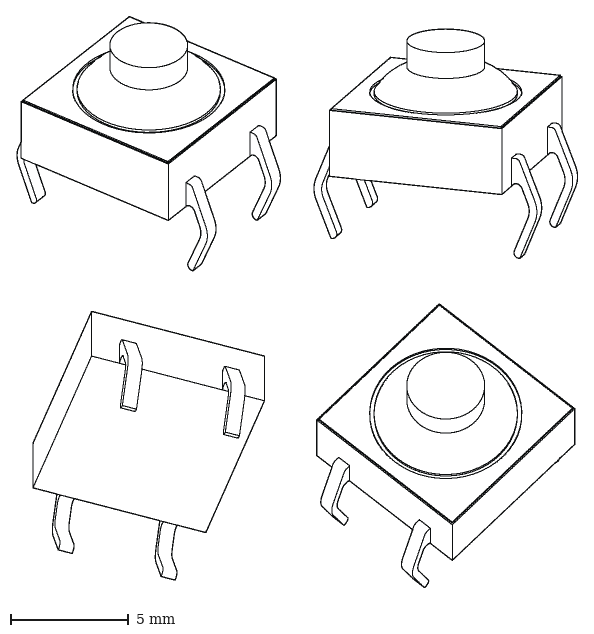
import cadquery as cq
import math

body_side = 7.75
body_height = 2.94

cover_step = 0.06
cover_side = body_side - 2 * cover_step
cover_thickness = 0.07
cover_top = body_height + cover_thickness

groove_diameter = 6.45
groove_depth = 0.1
groove_floor_z = cover_top - groove_depth

button_diameter = 3.31
dome_diameter = 6.08
dome_base_rise = 0.02
dome_base_z = cover_top + dome_base_rise
overall_height = 8.46
pin_tip_z = -3.18
button_top_z = overall_height + pin_tip_z
button_height = 1.15
button_base_z = button_top_z - button_height
dome_mid_radius = 2.37
dome_mid_drop = 0.38

pin_span = 10.02
pin_width = 0.63
pin_pitch = 4.61
pin_thickness = 0.35
pin_angle = math.radians(22)
pin_top_z = 1.25
pin_bend_z = -1.03
pin_bend_outer_radius = 1.25
pin_bend_inner_radius = pin_bend_outer_radius - pin_thickness
pin_shoulder_radius = 0.21
pin_tip_radius = 0.23
hook_top_z = 0.13
hook_radius = 0.25


def make_housing():
    """Build the block and cover with the round recess in which the dome stands."""
    block = cq.Workplane("XY").box(body_side, body_side, body_height, centered=(True, True, False))
    cover = (
        cq.Workplane("XY", origin=(0, 0, body_height))
        .rect(cover_side, cover_side)
        .extrude(cover_thickness)
    )
    recess = (
        cq.Workplane("XY", origin=(0, 0, groove_floor_z))
        .circle(groove_diameter / 2)
        .extrude(groove_depth)
    )
    return block.union(cover).cut(recess)


def make_dome_and_button():
    """Revolve the dome and the button on top of it about the Z axis."""
    return (
        cq.Workplane("XZ")
        .moveTo(0, groove_floor_z)
        .lineTo(dome_diameter / 2, groove_floor_z)
        .lineTo(dome_diameter / 2, dome_base_z)
        .threePointArc(
            (dome_mid_radius, button_base_z - dome_mid_drop),
            (button_diameter / 2, button_base_z),
        )
        .lineTo(button_diameter / 2, button_top_z)
        .lineTo(0, button_top_z)
        .close()
        .revolve(360, (0, 0), (0, 1))
    )


def make_pin():
    """Build one pin on the +X wall, centred on Y = 0."""
    wall_x = body_side / 2
    slope = math.tan(pin_angle)

    bend_x = pin_span / 2 + pin_bend_outer_radius * (1 / math.cos(pin_angle) - 1)
    strip_x = pin_thickness / math.cos(pin_angle)
    inner_bend_x = bend_x - strip_x

    shoulder_x = bend_x - slope * (pin_top_z - pin_bend_z)
    tip_outer_x = bend_x - slope * (pin_bend_z - pin_tip_z)
    tip_inner_x = tip_outer_x - strip_x

    hook_z = hook_top_z - hook_radius
    hook_x = inner_bend_x - slope * (hook_z - pin_bend_z) - hook_radius / math.cos(pin_angle)
    hook_start = (
        hook_x + hook_radius * math.cos(pin_angle),
        hook_z + hook_radius * math.sin(pin_angle),
    )
    hook_end = (wall_x, hook_z + math.sqrt(hook_radius**2 - (hook_x - wall_x) ** 2))

    pin = (
        cq.Workplane("XZ")
        .moveTo(wall_x, pin_top_z)
        .lineTo(shoulder_x, pin_top_z)
        .lineTo(bend_x, pin_bend_z)
        .lineTo(tip_outer_x, pin_tip_z)
        .lineTo(tip_inner_x, pin_tip_z)
        .lineTo(inner_bend_x, pin_bend_z)
        .lineTo(*hook_start)
        .threePointArc((hook_x, hook_top_z), hook_end)
        .close()
        .extrude(pin_width / 2, both=True)
    )
    rounded_corners = [
        (shoulder_x, pin_top_z, pin_shoulder_radius),
        (bend_x, pin_bend_z, pin_bend_outer_radius),
        (inner_bend_x, pin_bend_z, pin_bend_inner_radius),
        (tip_inner_x, pin_tip_z, pin_tip_radius),
    ]
    for x, z, radius in rounded_corners:
        pin = pin.edges("|Y").edges(cq.NearestToPointSelector((x, 0, z))).fillet(radius)
    return pin


result = make_housing().union(make_dome_and_button())

right_pin = make_pin()
left_pin = right_pin.mirror("YZ")
for side_pin in (right_pin, left_pin):
    for pin_y in (-pin_pitch / 2, pin_pitch / 2):
        result = result.union(side_pin.translate((0, pin_y, 0)))